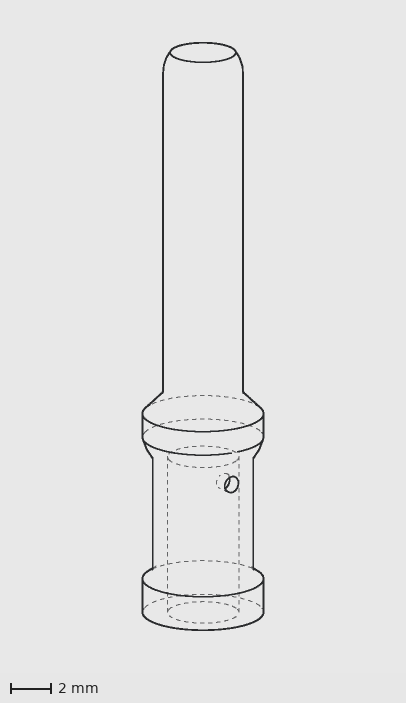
import cadquery as cq

total_length = 29.0
collar_diameter = 6.0
barrel_diameter = 5.0
pin_diameter = 3.97
tip_flat_diameter = 3.25

base_rim_top = 1.75
barrel_bottom = 2.12
barrel_top = 8.05
collar_bottom = 9.08
collar_top = 10.3
shoulder_top = 11.3
tip_length = 1.15
tip_bulge = 0.12
under_collar_bulge = 0.072
corner_blend_radius = 0.2

bore_diameter = 3.55
bore_depth = barrel_top
inspection_hole_diameter = 0.8
inspection_hole_height = 7.25


def turned_body():
    """Revolve the half profile, drawn as radius against height, about Z."""
    collar_radius = collar_diameter / 2
    barrel_radius = barrel_diameter / 2
    pin_radius = pin_diameter / 2
    tip_radius = tip_flat_diameter / 2
    tip_start = total_length - tip_length
    under_collar_middle = (
        (barrel_radius + collar_radius) / 2 + under_collar_bulge,
        (barrel_top + collar_bottom) / 2,
    )
    tip_middle = (
        (pin_radius + tip_radius) / 2 + tip_bulge,
        total_length - tip_length / 2,
    )
    profile = (
        cq.Workplane("XZ")
        .lineTo(collar_radius, 0)
        .lineTo(collar_radius, base_rim_top)
        .lineTo(barrel_radius, barrel_bottom)
        .lineTo(barrel_radius, barrel_top)
        .threePointArc(under_collar_middle, (collar_radius, collar_bottom))
        .lineTo(collar_radius, collar_top)
        .lineTo(pin_radius, shoulder_top)
        .lineTo(pin_radius, tip_start)
        .threePointArc(tip_middle, (tip_radius, total_length))
        .lineTo(0, total_length)
        .close()
    )
    return profile.revolve(360, (0, 0, 0), (0, 1, 0))


def blend_corner(body, diameter, height):
    """Fillet the circular inner corner of the given diameter and height."""
    margin = corner_blend_radius / 2
    reach = diameter / 2 + margin
    corner = cq.selectors.BoxSelector(
        (-reach, -reach, height - margin),
        (reach, reach, height + margin),
        boundingbox=True,
    )
    return body.edges(corner).fillet(corner_blend_radius)


def wire_bore():
    """Blind bore that enters the barrel from the base."""
    return cq.Workplane("XY").circle(bore_diameter / 2).extrude(bore_depth)


def inspection_hole():
    """Radial hole through the +X wall of the barrel, from the axis outwards."""
    return (
        cq.Workplane("YZ")
        .center(0, inspection_hole_height)
        .circle(inspection_hole_diameter / 2)
        .extrude(collar_diameter / 2)
    )


body = turned_body()
for diameter, height in (
    (barrel_diameter, barrel_bottom),
    (barrel_diameter, barrel_top),
    (pin_diameter, shoulder_top),
):
    body = blend_corner(body, diameter, height)

result = body.cut(wire_bore()).cut(inspection_hole())